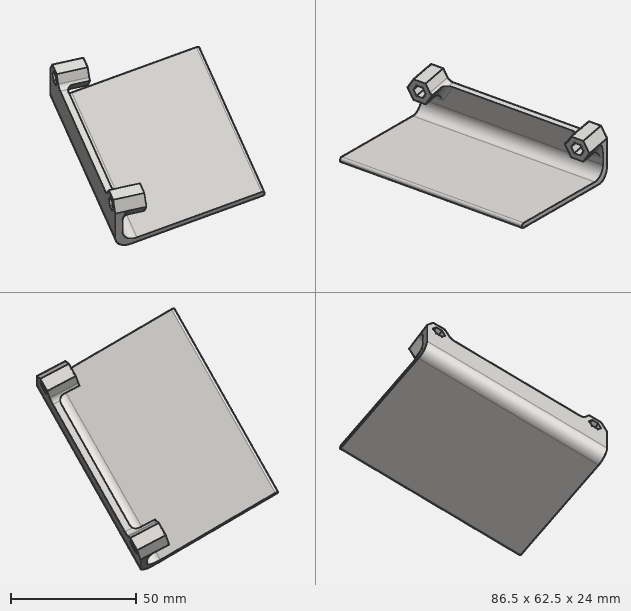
import cadquery as cq
import math

hole_spacing = 75.0
tray_reach = 62.51
bottom_depth = 18.96

boss_across_flats = 10.0
hole_across_flats = 5.0
boss_length = 13.0

wall_thickness = 3.0
shoulder_radius = 3.0
boss_root_radius = 3.0

tray_thickness = 2.3
tray_angle = 10.8
outer_bend_radius = 5.1
inner_bend_radius = 5.0

HEX_SIDE_ANGLE = 60.0
boss_half_height = boss_across_flats / 2
boss_corner_radius = boss_half_height / math.sin(math.radians(HEX_SIDE_ANGLE))
boss_half_flat = boss_corner_radius / 2
boss_x = hole_spacing / 2
half_width = boss_x + boss_corner_radius
width = 2 * half_width
hole_corner_diameter = hole_across_flats / math.sin(math.radians(HEX_SIDE_ANGLE))


def shift(point, direction, distance):
    """Move a 2D point a distance along a unit direction."""
    return (point[0] + direction[0] * distance, point[1] + direction[1] * distance)


def extrude_back(sketch, length):
    """Extrude a front-plane (XZ) sketch from the front face towards +Y."""
    return sketch.extrude(-length)


def make_tray_and_bend():
    """Tray, bend and front wall up to the shoulder height, as one side profile across the width."""
    slope = math.radians(tray_angle)
    along = (math.cos(slope), math.sin(slope))
    up = (-math.sin(slope), math.cos(slope))

    outer_centre = (outer_bend_radius, outer_bend_radius - bottom_depth)
    bend_start_angle = math.pi
    bend_end_angle = 1.5 * math.pi + slope
    bend_middle_angle = (bend_start_angle + bend_end_angle) / 2
    middle = (math.cos(bend_middle_angle), math.sin(bend_middle_angle))
    outer_start = (0, outer_centre[1])
    outer_middle = shift(outer_centre, middle, outer_bend_radius)
    underside_start = shift(outer_centre, up, -outer_bend_radius)

    inner_y = wall_thickness + inner_bend_radius
    rise = tray_thickness + inner_bend_radius
    inner_z = underside_start[1] + (inner_y - underside_start[0]) * math.tan(slope) + rise / math.cos(slope)
    inner_centre = (inner_y, inner_z)
    inner_end = (wall_thickness, inner_z)
    inner_middle = shift(inner_centre, middle, inner_bend_radius)
    top_start = shift(inner_centre, up, -inner_bend_radius)

    tip_radius = tray_thickness / 2
    tip_y = tray_reach - tip_radius
    centreline_start = shift(underside_start, up, tip_radius)
    tip_centre = shift(centreline_start, along, (tip_y - centreline_start[0]) / along[0])
    underside_end = shift(tip_centre, up, -tip_radius)
    tip_middle = shift(tip_centre, along, tip_radius)
    top_end = shift(tip_centre, up, tip_radius)

    return (
        cq.Workplane("YZ", origin=(-half_width, 0, 0))
        .moveTo(0, 0)
        .lineTo(*outer_start)
        .threePointArc(outer_middle, underside_start)
        .lineTo(*underside_end)
        .threePointArc(tip_middle, top_end)
        .lineTo(*top_start)
        .threePointArc(inner_middle, inner_end)
        .lineTo(wall_thickness, 0)
        .close()
        .extrude(width)
    )


def make_flared_boss():
    """Lower half of the right-hand boss, its sides carried upward, blended into a wide wall."""
    top = boss_half_height
    lean = 1 / math.tan(math.radians(HEX_SIDE_ANGLE))
    top_half = boss_half_flat + (top + boss_half_height) * lean
    margin = 2 * boss_root_radius
    wall_half = top_half + margin
    wall_height = top + boss_half_height + margin
    wall = (
        cq.Workplane("XY", origin=(0, 0, top - wall_height))
        .box(2 * wall_half, wall_thickness, wall_height, centered=(True, False, False))
    )
    boss = extrude_back(
        cq.Workplane("XZ").polyline(
            [
                (-top_half, top),
                (-boss_half_flat, -boss_half_height),
                (boss_half_flat, -boss_half_height),
                (top_half, top),
            ]
        ).close(),
        boss_length,
    )

    body = wall.union(boss)
    select_margin = 0.1
    root = cq.selectors.BoxSelector(
        (-top_half - select_margin, wall_thickness - select_margin, -boss_half_height - select_margin),
        (top_half + select_margin, wall_thickness + select_margin, top + select_margin),
        boundingbox=True,
    )
    body = body.edges(root).fillet(boss_root_radius)
    return body.translate((boss_x, 0, 0))


def make_boss_outline():
    """Front outline of the right-hand boss: hexagon top, rounded shoulder and the flared root below."""
    tangent = shoulder_radius * math.tan(math.radians(HEX_SIDE_ANGLE / 2))
    side = math.radians(HEX_SIDE_ANGLE)
    boss_inner_x = boss_x - boss_corner_radius
    arc_end = boss_inner_x - tangent
    arc_start = (boss_inner_x + tangent * math.cos(side), tangent * math.sin(side))
    arc_middle = (
        arc_end + shoulder_radius * math.sin(side / 2),
        shoulder_radius * (1 - math.cos(side / 2)),
    )

    floor = -boss_half_height - 2 * boss_root_radius
    flare_x = arc_end - boss_root_radius
    return extrude_back(
        cq.Workplane("XZ")
        .moveTo(half_width, 0)
        .lineTo(boss_x + boss_half_flat, boss_half_height)
        .lineTo(boss_x - boss_half_flat, boss_half_height)
        .lineTo(*arc_start)
        .threePointArc(arc_middle, (arc_end, 0))
        .lineTo(flare_x, 0)
        .lineTo(flare_x, floor)
        .lineTo(half_width, floor)
        .close(),
        boss_length,
    )


def make_hex_hole():
    """Hexagonal prism that bores through the right-hand boss."""
    return extrude_back(
        cq.Workplane("XZ", origin=(boss_x, 0, 0)).polygon(6, hole_corner_diameter),
        boss_length,
    )


right_boss = make_flared_boss().intersect(make_boss_outline())
right_hole = make_hex_hole()
result = make_tray_and_bend().union(right_boss).union(right_boss.mirror("YZ"))
result = result.cut(right_hole).cut(right_hole.mirror("YZ")).clean()